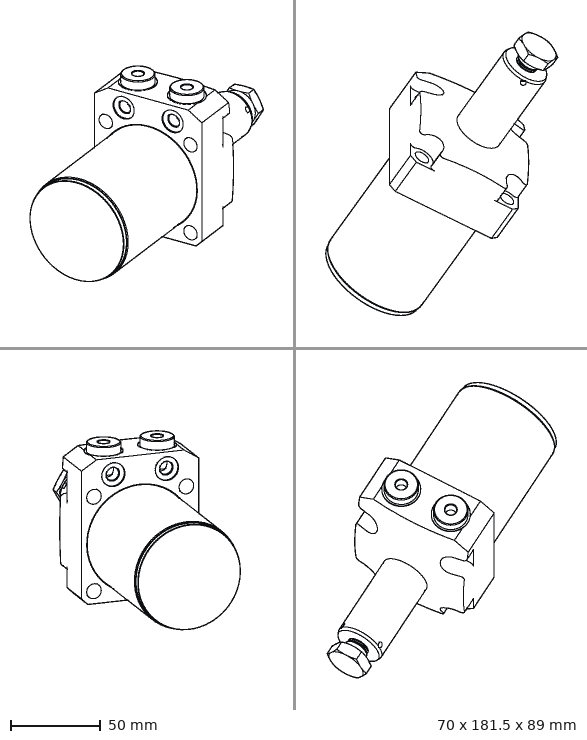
import cadquery as cq
import math

BACK = cq.Vector(0, 1, 0)

flange_half_width = 35.0
flange_top = 49.0
flange_thickness = 38.5
top_corner_width = 8.9
top_corner_height = 5.6
bottom_corner = 3.8
cone_flat_radius = 19.8
cone_angle = 15.0

barrel_radius = 31.4
barrel_length = 77.1
barrel_seat_gap = 0.4
barrel_seat_depth = 0.5
end_cap_radius = 30.7
end_cap_length = 2.9
end_cap_bevel = 0.27
barrel_bevel_length = 0.7
barrel_bevel_depth = 0.4

mount_pitch = 55.2
mount_hole_radius = 4.4
pocket_radius = 7.3
pocket_floor = 23.0
mouth_round = 2.4

port_x = 16.0
port_y = 15.5
boss_radius = 9.6
boss_height = 5.0
boss_bevel = 0.5
spotface_radius = 10.9
spotface_depth = 0.5
stem_radius = 6.5
stem_length = 12.7
chamber_depth = 14.5
socket_radius = 3.3
socket_depth = 6.4
socket_bevel = 0.4
socket_tip = 1.8

front_port_z = 39.2
front_port_radius = 3.8
seal_outer_radius = 6.9
seal_tube_radius = 1.5
seal_protrusion = 0.4
seal_recess_depth = 2.2

rod_diameter = 28.1
rod_radius = rod_diameter / 2
rod_end = 90.5
rod_bevel_length = 1.8
rod_bevel_depth = 0.7
spanner_hole_radius = 1.6
spanner_hole_setback = 3.3
spanner_hole_depth = 3.6
spanner_hole_count = 3
spanner_hole_start_angle = 30.0

overall_length = 181.5
screw_end = overall_length - barrel_length
head_height = 6.9
head_across_flats = 22.0
head_bevel_depth = 1.6
head_bevel_length = 0.7
neck_radius = 6.9
neck_length = 4.4
groove_radius = 5.8
collar_radius = 6.4
collar_length = 0.5


def revolve_about_y(profile):
    """Revolve a closed (radius, y) outline about the Y axis."""
    return cq.Workplane("XY").polyline(profile).close().revolve(360, (0, 0, 0), (0, 1, 0))


def cylinder_along(start, direction, radius, length):
    """A plain cylinder from a start point along a direction."""
    return cq.Workplane(cq.Solid.makeCylinder(radius, length, cq.Vector(*start), direction))


def make_flange():
    half = flange_half_width
    outline = [
        (half - bottom_corner, -half),
        (half, -half + bottom_corner),
        (half, flange_top - top_corner_height),
        (half - top_corner_width, flange_top),
    ]
    outline += [(-x, z) for x, z in reversed(outline)]
    plate = cq.Workplane("XZ").polyline(outline).close().extrude(-flange_thickness)

    cone_outer = 2 * half
    cone_drop = (cone_outer - cone_flat_radius) * math.tan(math.radians(cone_angle))
    envelope = revolve_about_y([
        (0, 0),
        (cone_outer, 0),
        (cone_outer, flange_thickness - cone_drop),
        (cone_flat_radius, flange_thickness),
        (0, flange_thickness),
    ])
    return plate.intersect(envelope)


def make_barrel():
    return revolve_about_y([
        (0, barrel_seat_depth),
        (barrel_radius, barrel_seat_depth),
        (barrel_radius, end_cap_length + barrel_bevel_length - barrel_length),
        (barrel_radius - barrel_bevel_depth, end_cap_length - barrel_length),
        (end_cap_radius, end_cap_length - barrel_length),
        (end_cap_radius, end_cap_bevel - barrel_length),
        (end_cap_radius - end_cap_bevel, -barrel_length),
        (0, -barrel_length),
    ])


def make_upper_pocket():
    """Round-ended slot for a screw head, open to +X through a rounded mouth."""
    hole = mount_pitch / 2
    side = flange_half_width
    flare_x = side - mouth_round
    mouth_half = pocket_radius + mouth_round
    curve = mouth_round * math.sqrt(0.5)
    return (
        cq.Workplane("XZ", origin=(0, pocket_floor, 0))
        .moveTo(hole, hole - pocket_radius)
        .lineTo(flare_x, hole - pocket_radius)
        .threePointArc((flare_x + curve, hole - mouth_half + curve), (side, hole - mouth_half))
        .lineTo(side, hole + mouth_half)
        .threePointArc((flare_x + curve, hole + mouth_half - curve), (flare_x, hole + pocket_radius))
        .lineTo(hole, hole + pocket_radius)
        .threePointArc((hole - pocket_radius, hole), (hole, hole - pocket_radius))
        .close()
        .extrude(-flange_thickness)
    )


def make_lower_pocket():
    """Round screw-head pocket that breaks out through +X, the corner and the underside."""
    hole = mount_pitch / 2
    side = flange_half_width
    lip_out = side - mouth_round
    lip_offset = lip_out - hole
    lip_in = hole - math.sqrt((pocket_radius + mouth_round) ** 2 - lip_offset ** 2)
    blend = pocket_radius / (pocket_radius + mouth_round)
    touch_out = hole + blend * lip_offset
    touch_in = hole + blend * (lip_in - hole)
    middle_angle = math.atan2(hole - lip_in, -lip_offset) / 2
    middle_out = lip_out + mouth_round * math.cos(middle_angle)
    middle_in = lip_in + mouth_round * math.sin(middle_angle)
    pocket_back = hole - pocket_radius * math.sqrt(0.5)
    return (
        cq.Workplane("XZ", origin=(0, pocket_floor, 0))
        .moveTo(side, -lip_in)
        .lineTo(side, -side)
        .lineTo(lip_in, -side)
        .threePointArc((middle_in, -middle_out), (touch_in, -touch_out))
        .threePointArc((pocket_back, -pocket_back), (touch_out, -touch_in))
        .threePointArc((middle_out, -middle_in), (side, -lip_in))
        .close()
        .extrude(-flange_thickness)
    )


def cut_mounting_holes(body):
    half_pitch = mount_pitch / 2
    for pocket in (make_upper_pocket(), make_lower_pocket()):
        body = body.cut(pocket).cut(pocket.mirror("YZ"))
    for x in (-half_pitch, half_pitch):
        for z in (-half_pitch, half_pitch):
            body = body.cut(cylinder_along((x, 0, z), BACK, mount_hole_radius, flange_thickness))
    return body


def make_port_boss():
    """Plug-shaped boss on the Z axis with its socket, measured from the flange top."""
    outline = [
        (0, -stem_length),
        (stem_radius, -stem_length),
        (stem_radius, -spotface_depth),
        (boss_radius, -spotface_depth),
        (boss_radius, boss_height - boss_bevel),
        (boss_radius - boss_bevel, boss_height),
        (socket_radius + socket_bevel, boss_height),
        (socket_radius, boss_height - socket_bevel),
        (socket_radius, boss_height - socket_depth),
        (0, boss_height - socket_depth - socket_tip),
    ]
    return cq.Workplane("XZ").polyline(outline).close().revolve(360, (0, 0, 0), (0, 1, 0))


def make_seal_ring(x):
    centre = cq.Vector(x, seal_tube_radius - seal_protrusion, front_port_z)
    ring_radius = seal_outer_radius - seal_tube_radius
    return cq.Workplane(cq.Solid.makeTorus(ring_radius, seal_tube_radius, centre, BACK))


def add_ports(body):
    for x in (-port_x, port_x):
        top = cq.Workplane("XY", origin=(x, port_y, flange_top))
        body = body.cut(top.circle(spotface_radius).extrude(-spotface_depth))
        body = body.cut(top.circle(stem_radius).extrude(-chamber_depth))
        port_start = (x, 0, front_port_z)
        body = body.cut(cylinder_along(port_start, BACK, front_port_radius, port_y))
        body = body.cut(cylinder_along(port_start, BACK, seal_outer_radius, seal_recess_depth))
        body = body.union(make_port_boss().translate((x, port_y, flange_top)))
        body = body.union(make_seal_ring(x))
    return body


def make_housing():
    body = make_flange()
    seat_radius = barrel_radius + barrel_seat_gap
    body = body.cut(cylinder_along((0, 0, 0), BACK, seat_radius, barrel_seat_depth))
    body = body.union(make_barrel())
    body = cut_mounting_holes(body)
    return add_ports(body)


def make_rod():
    body = revolve_about_y([
        (0, flange_thickness),
        (rod_radius, flange_thickness),
        (rod_radius, rod_end - rod_bevel_length),
        (rod_radius - rod_bevel_depth, rod_end),
        (0, rod_end),
    ])
    hole_y = rod_end - spanner_hole_setback
    for index in range(spanner_hole_count):
        angle = math.radians(spanner_hole_start_angle + index * 360 / spanner_hole_count)
        outward = cq.Vector(math.cos(angle), 0, math.sin(angle))
        start = outward * (rod_radius - spanner_hole_depth) + BACK * hole_y
        body = body.cut(cylinder_along(start.toTuple(), outward, spanner_hole_radius, 2 * spanner_hole_depth))
    return body


def make_screw():
    head_start = screw_end - head_height
    corner_radius = head_across_flats / math.sqrt(3)
    head = (
        cq.Workplane("XZ", origin=(0, head_start, 0))
        .polygon(6, 2 * corner_radius)
        .extrude(-head_height)
    )
    bevel_radius = corner_radius - head_bevel_depth
    head = head.intersect(revolve_about_y([
        (0, head_start),
        (bevel_radius, head_start),
        (corner_radius, head_start + head_bevel_length),
        (corner_radius, screw_end - head_bevel_length),
        (bevel_radius, screw_end),
        (0, screw_end),
    ]))
    neck_start = head_start - neck_length
    shank = revolve_about_y([
        (0, rod_end),
        (collar_radius, rod_end),
        (collar_radius, rod_end + collar_length),
        (groove_radius, rod_end + 2 * collar_length),
        (groove_radius, neck_start - collar_length),
        (collar_radius, neck_start - collar_length),
        (neck_radius, neck_start),
        (neck_radius, head_start),
        (0, head_start),
    ])
    return head.union(shank)


housing = make_housing()
rod = make_rod()
screw = make_screw()
result = cq.Compound.makeCompound([housing.val(), rod.val(), screw.val()])